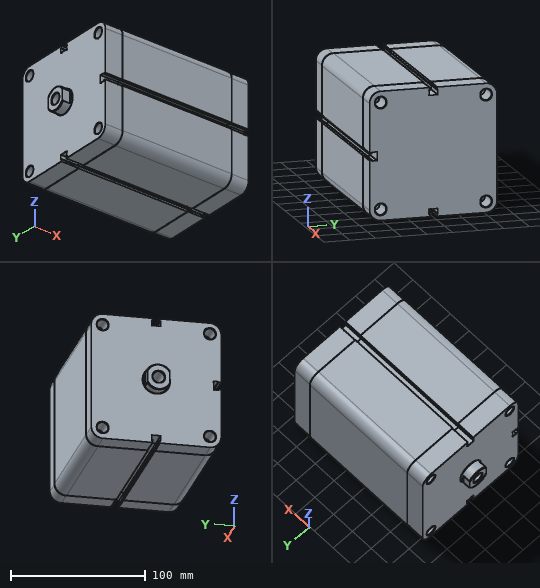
import cadquery as cq

overall_length = 144.5
rod_projection = 8.1
cap_length = 16.3
barrel_length = overall_length - rod_projection - 2 * cap_length
head_cap_start = rod_projection
barrel_start = head_cap_start + cap_length
end_cap_start = barrel_start + barrel_length

barrel_size = 100.0
corner_radius = 9.0
cap_inset = 0.3

screw_hole_diameter = 8.5
screw_hole_chamfer = 0.5
screw_hole_pitch = barrel_size - 2 * corner_radius

slot_depth = 6.2
slot_lip = 2.5
slot_floor_width = 6.8
barrel_slot_mouth = 5.3
cap_slot_mouth = 5.6
slot_angles = (0, 90, 180)

rod_diameter = 20.1
rod_tip_chamfer = 0.5
rod_bore_chamfer = 0.6
flat_width = 17.0
flat_length = 6.8
shoulder_chamfer = 0.5
thread_diameter = 9.0
thread_depth = 20.0
thread_chamfer = 0.5
drill_tip_height = thread_diameter / 4


def section_at(x):
    """Workplane across the cylinder at the given X, with local axes Y and Z."""
    return cq.Workplane("YZ", origin=(x, 0, 0))


def slot_cutter(start, length, mouth_width):
    """Undercut slots for every slotted face, measured from the barrel faces."""
    face = barrel_size / 2
    floor = face - slot_depth
    undercut_height = slot_depth - slot_lip
    undercut = section_at(start).center(0, floor + undercut_height / 2)
    undercut = undercut.rect(slot_floor_width, undercut_height).extrude(length)
    mouth = section_at(start).center(0, floor + slot_depth / 2)
    mouth = mouth.rect(mouth_width, slot_depth).extrude(length)
    slot = undercut.union(mouth)
    cutter = cq.Workplane()
    for angle in slot_angles:
        cutter = cutter.add(slot.rotate((0, 0, 0), (1, 0, 0), angle))
    return cutter.combine()


def slotted_block(start, length, inset, mouth_width):
    """Rounded square block with the slots and the four screw holes."""
    size = barrel_size - 2 * inset
    block = section_at(start).rect(size, size).extrude(length)
    block = block.edges("|X").fillet(corner_radius - inset)
    holes = section_at(start).rect(screw_hole_pitch, screw_hole_pitch, forConstruction=True)
    holes = holes.vertices().circle(screw_hole_diameter / 2).extrude(length)
    return block.cut(slot_cutter(start, length, mouth_width)).cut(holes)


def make_cap(start, outer_face):
    """Cap with the screw holes chamfered on its outer face."""
    cap = slotted_block(start, cap_length, cap_inset, cap_slot_mouth)
    hole_rims = cap.faces(outer_face).edges(cq.selectors.RadiusNthSelector(0))
    return hole_rims.chamfer(screw_hole_chamfer)


def make_head_cap():
    """Front cap with a chamfered bore for the rod."""
    cap = make_cap(head_cap_start, "<X")
    radius = rod_diameter / 2
    bore = section_at(head_cap_start).circle(radius).extrude(cap_length)
    cap = cap.cut(bore)
    bore_rim = cap.faces("<X").edges(cq.selectors.RadiusNthSelector(-1))
    return bore_rim.chamfer(rod_bore_chamfer)


def make_rod():
    """Rod with two wrench flats and a blind threaded hole, reaching to the barrel."""
    radius = rod_diameter / 2
    rod = section_at(0).circle(radius).extrude(barrel_start)
    rod = rod.faces("<X").chamfer(rod_tip_chamfer)

    flat_profile = (
        cq.Workplane("XY")
        .moveTo(0, flat_width / 2)
        .lineTo(flat_length, flat_width / 2)
        .lineTo(flat_length, radius - shoulder_chamfer)
        .lineTo(flat_length + shoulder_chamfer, radius)
        .lineTo(0, radius)
        .close()
    )
    flat = flat_profile.extrude(radius, both=True)
    rod = rod.cut(flat).cut(flat.mirror("XZ"))

    hole_radius = thread_diameter / 2
    hole_profile = (
        cq.Workplane("XY")
        .moveTo(0, 0)
        .lineTo(0, hole_radius + thread_chamfer)
        .lineTo(thread_chamfer, hole_radius)
        .lineTo(thread_depth, hole_radius)
        .lineTo(thread_depth + drill_tip_height, 0)
        .close()
    )
    return rod.cut(hole_profile.revolve(360, (0, 0, 0), (1, 0, 0)))


head_cap = make_head_cap()
barrel = slotted_block(barrel_start, barrel_length, 0, barrel_slot_mouth)
end_cap = make_cap(end_cap_start, ">X")
rod = make_rod()

result = cq.Compound.makeCompound([head_cap.val(), barrel.val(), end_cap.val(), rod.val()])